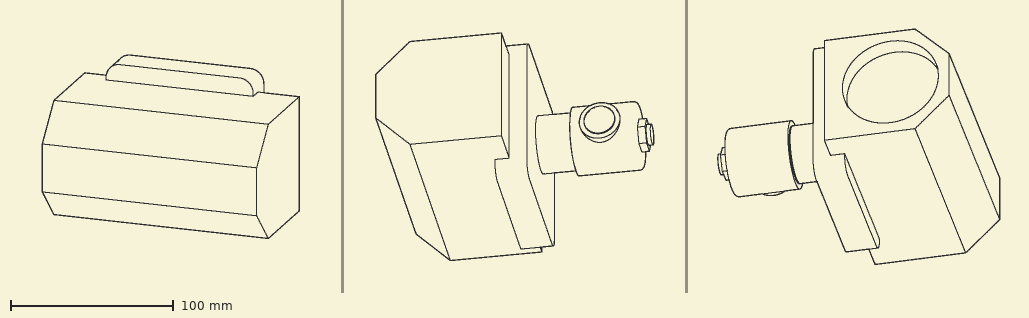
import cadquery as cq

block_length = 140.0
block_depth = 78.7
block_height = 74.1
front_bevel = 21.5

port_diameter = 60.5
port_depth = 12.5

plate_side = 96.0
plate_thickness = 20.0
plate_standoff = 11.0
plate_corner_radius = 9.0

axis_x = -5.0
stem_diameter = 36.0
head_diameter = 42.5
head_length = 40.3
head_fillet = 2.4
shoulder_length = 0.6

nut_corner_diameter = 20.4
nut_thickness = 4.8
stud_diameter = 13.0
stud_length = 2.5

boss_diameter = 25.5
boss_reach = 22.2
boss_setback = 21.5
boss_cap_diameter = 19.3
boss_cap_thickness = 1.0

overall_depth = 159.4
front_y = -overall_depth / 2
block_back_y = front_y + block_depth
plate_back_y = block_back_y + plate_standoff
nut_back_y = overall_depth / 2 - stud_length
head_back_y = nut_back_y - nut_thickness
head_front_y = head_back_y - head_length
shoulder_front_y = head_front_y - shoulder_length


def toward_back(y):
    """Workplane on the stem axis at station y, extruding toward +Y."""
    return cq.Workplane("XZ", origin=(axis_x, y, 0)).transformed(rotate=(180, 0, 0))


def make_block():
    block = cq.Workplane("XY").box(block_length, block_depth, block_height)
    block = block.translate((0, front_y + block_depth / 2, 0))
    return block.faces("<Y").edges("|X").chamfer(front_bevel)


def make_plate():
    plate = toward_back(plate_back_y - plate_thickness).rect(plate_side, plate_side).extrude(plate_thickness)
    return plate.edges("|Y").fillet(plate_corner_radius)


def make_stem():
    return toward_back(plate_back_y).circle(stem_diameter / 2).extrude(shoulder_front_y - plate_back_y)


def make_port():
    port_center = (-block_length / 2, front_y + block_height / 2, 0)
    return cq.Workplane("YZ", origin=port_center).circle(port_diameter / 2).extrude(port_depth)


def make_housing():
    return make_block().union(make_plate()).union(make_stem()).cut(make_port())


def make_boss():
    boss_center = (axis_x, head_back_y - boss_setback, 0)
    boss = cq.Workplane("YZ", origin=boss_center).circle(boss_diameter / 2).extrude(boss_reach)
    return boss.faces(">X").workplane().circle(boss_cap_diameter / 2).extrude(boss_cap_thickness)


def make_head():
    head = toward_back(head_front_y).circle(head_diameter / 2).extrude(head_length)
    head = head.faces(">Y").edges().fillet(head_fillet)
    shoulder = toward_back(shoulder_front_y).circle(stem_diameter / 2).extrude(shoulder_length)
    nut = toward_back(head_back_y).polygon(6, nut_corner_diameter).extrude(nut_thickness)
    stud = toward_back(nut_back_y).circle(stud_diameter / 2).extrude(stud_length)
    return head.union(shoulder).union(nut).union(stud).union(make_boss())


housing = make_housing()
head = make_head()

result = cq.Compound.makeCompound([housing.solids().val(), head.solids().val()])